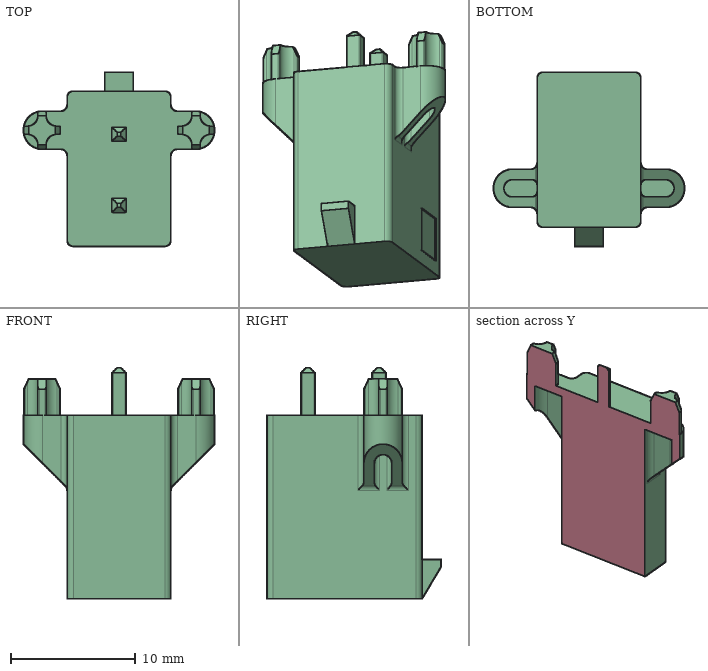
import cadquery as cq
import math

BODY_WIDTH = 8.36
BODY_DEPTH = 12.5
BODY_HEIGHT = 14.78
BODY_CORNER_RADIUS = 0.5

OVERALL_WIDTH = 15.39
LUG_RADIUS = 1.54
LUG_X = OVERALL_WIDTH / 2 - LUG_RADIUS
LUG_Y = 3.1
LUG_TIP_HEIGHT = 2.34
LUG_UNDERSIDE_ANGLE = 45
LUG_WALL = 0.85
LUG_OUTER_FILLET = 0.5
LUG_INNER_FILLET = 0.4

POST_HEIGHT = 2.9
POST_X = 6.19
POST_REACH_X = 1.46
POST_REACH_Y = 1.54
POST_ARM_WIDTH = 0.66
POST_FLUTE_RADIUS = 0.85
POST_EDGE_FILLET = 0.1
POST_CHAMFER_WIDTH = 0.38
POST_CHAMFER_HEIGHT = 0.82

PIN_SIZE = 1.15
PIN_HEIGHT = 3.8
PIN_TIP_CHAMFER = 0.42
PIN_EDGE_FILLET = 0.1
PIN_PITCH = 5.72
PIN_ROW_Y = -0.08

LATCH_WIDTH = 2.3
LATCH_REACH = 1.53
LATCH_HEIGHT = 3.18
LATCH_TIP_HEIGHT = 0.6

RECESS_SIZE = 3.5
RECESS_DEPTH = 0.1
RECESS_Y = -3.25
RECESS_Z = 2.91

SIDE_FACE_X = BODY_WIDTH / 2
BACK_FACE_Y = BODY_DEPTH / 2
TOLERANCE = 0.001


def make_body():
    body = cq.Workplane("XY").box(BODY_WIDTH, BODY_DEPTH, BODY_HEIGHT, centered=(True, True, False))
    return body.edges("|Z").fillet(BODY_CORNER_RADIUS)


def round_ended_arm(radius, bottom_z, top_z):
    """Upright arm from the +X body face, ending in a half cylinder about the lug axis."""
    return (
        cq.Workplane("XY", origin=(0, LUG_Y, bottom_z))
        .moveTo(SIDE_FACE_X, -radius)
        .lineTo(LUG_X, -radius)
        .threePointArc((LUG_X + radius, 0), (LUG_X, radius))
        .lineTo(SIDE_FACE_X, radius)
        .close()
        .extrude(top_z - bottom_z)
    )


def make_lug():
    """Lug on the +X side: sloped underside, cored out from below to an even wall."""
    tip_x = OVERALL_WIDTH / 2
    tip_z = BODY_HEIGHT - LUG_TIP_HEIGHT
    root_z = tip_z - (tip_x - SIDE_FACE_X) * math.tan(math.radians(LUG_UNDERSIDE_ANGLE))
    lug = round_ended_arm(LUG_RADIUS, root_z, BODY_HEIGHT)
    below_slope = (
        cq.Workplane("XZ", origin=(0, LUG_Y, 0))
        .polyline([(SIDE_FACE_X, root_z), (tip_x, tip_z), (tip_x, root_z)])
        .close()
        .extrude(LUG_RADIUS, both=True)
    )
    core = round_ended_arm(LUG_RADIUS - LUG_WALL, root_z, BODY_HEIGHT - LUG_WALL)
    return lug.cut(below_slope).cut(core)


def lug_root_edges(part, near_y, far_y):
    """Edges on the body side faces lying between two Y distances from the lug axis."""
    edges = []
    for edge in part.edges().vals():
        box = edge.BoundingBox()
        on_right = abs(box.xmin - SIDE_FACE_X) < TOLERANCE and box.xlen < TOLERANCE
        on_left = abs(box.xmax + SIDE_FACE_X) < TOLERANCE and box.xlen < TOLERANCE
        if (on_right or on_left) and near_y < abs(edge.Center().y - LUG_Y) < far_y:
            edges.append(edge)
    return edges


def add_lugs(body):
    """Join a lug to each X side and blend the roots, inside the core first and then outside."""
    lug = make_lug()
    part = body.union(lug).union(lug.mirror("YZ"))
    core_radius = LUG_RADIUS - LUG_WALL
    core_edges = lug_root_edges(part, core_radius - TOLERANCE, core_radius + TOLERANCE)
    part = cq.Workplane(part.val().fillet(LUG_INNER_FILLET, core_edges))
    outer_edges = lug_root_edges(part, core_radius + TOLERANCE, LUG_RADIUS + TOLERANCE)
    return cq.Workplane(part.val().fillet(LUG_OUTER_FILLET, outer_edges))


def make_post():
    """Four-armed post with concave flutes between the arms and tapered arm ends."""
    base = cq.Workplane("XY", origin=(POST_X, LUG_Y, BODY_HEIGHT))
    x_arms = base.rect(2 * POST_REACH_X, POST_ARM_WIDTH).extrude(POST_HEIGHT)
    y_arms = base.rect(POST_ARM_WIDTH, 2 * POST_REACH_Y).extrude(POST_HEIGHT)
    post = x_arms.union(y_arms)

    inner_corners = []
    tip_corners = []
    for edge in post.edges("|Z").vals():
        offset = edge.Center() - cq.Vector(POST_X, LUG_Y, edge.Center().z)
        if offset.Length < POST_ARM_WIDTH:
            inner_corners.append(edge)
        else:
            tip_corners.append(edge)
    post = post.newObject(inner_corners).fillet(POST_FLUTE_RADIUS)
    post = post.newObject(tip_corners).fillet(POST_EDGE_FILLET)

    tapered_envelope = (
        base.rect(2 * POST_REACH_X, 2 * POST_REACH_Y)
        .extrude(POST_HEIGHT)
        .faces(">Z")
        .chamfer(POST_CHAMFER_HEIGHT, POST_CHAMFER_WIDTH)
    )
    return post.intersect(tapered_envelope)


def make_pin(y):
    """Square contact pin with eased edges and a pyramid tip."""
    base = cq.Workplane("XY", origin=(0, y, BODY_HEIGHT))
    pin = base.rect(PIN_SIZE, PIN_SIZE).extrude(PIN_HEIGHT)
    pointed_envelope = pin.faces(">Z").chamfer(PIN_TIP_CHAMFER)
    return pin.edges("|Z").fillet(PIN_EDGE_FILLET).intersect(pointed_envelope)


def make_latch():
    """Ramp rising from the bottom edge of the +Y face to a flat-topped catch."""
    tip_y = BACK_FACE_Y + LATCH_REACH
    return (
        cq.Workplane("YZ")
        .polyline(
            [
                (BACK_FACE_Y, 0),
                (tip_y, LATCH_HEIGHT - LATCH_TIP_HEIGHT),
                (tip_y, LATCH_HEIGHT),
                (BACK_FACE_Y, LATCH_HEIGHT),
            ]
        )
        .close()
        .extrude(LATCH_WIDTH / 2, both=True)
    )


def make_recess():
    return cq.Workplane("XY").box(2 * RECESS_DEPTH, RECESS_SIZE, RECESS_SIZE).translate(
        (-SIDE_FACE_X, RECESS_Y, RECESS_Z)
    )


result = add_lugs(make_body())

post = make_post()
result = result.union(post).union(post.mirror("YZ"))

for row_side in (-1, 1):
    result = result.union(make_pin(PIN_ROW_Y + row_side * PIN_PITCH / 2))

result = result.union(make_latch()).cut(make_recess())